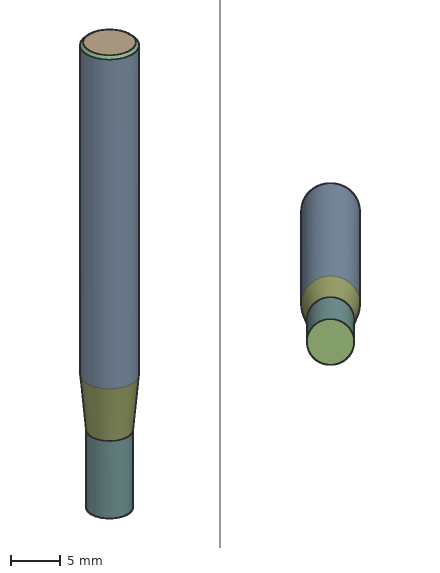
import cadquery as cq

total_length = 54.0
shank_diameter = 6.0
head_diameter = 4.8
head_length = 9.0
neck_length = 6.4
top_chamfer = 0.3

shank_radius = shank_diameter / 2
head_radius = head_diameter / 2
neck_bottom = head_length
neck_top = neck_bottom + neck_length


def make_shank():
    """Round shank with a chamfered top and a neck tapering down to the head."""
    profile = (
        cq.Workplane("XZ")
        .moveTo(0, neck_bottom)
        .lineTo(head_radius, neck_bottom)
        .lineTo(shank_radius, neck_top)
        .lineTo(shank_radius, total_length - top_chamfer)
        .lineTo(shank_radius - top_chamfer, total_length)
        .lineTo(0, total_length)
        .close()
    )
    return profile.revolve(360, (0, 0, 0), (0, 1, 0))


def make_head():
    """Plain cylindrical head that butts against the lower face of the neck."""
    return cq.Workplane("XY").circle(head_radius).extrude(head_length)


shank = make_shank()
head = make_head()

result = cq.Compound.makeCompound([shank.val(), head.val()])